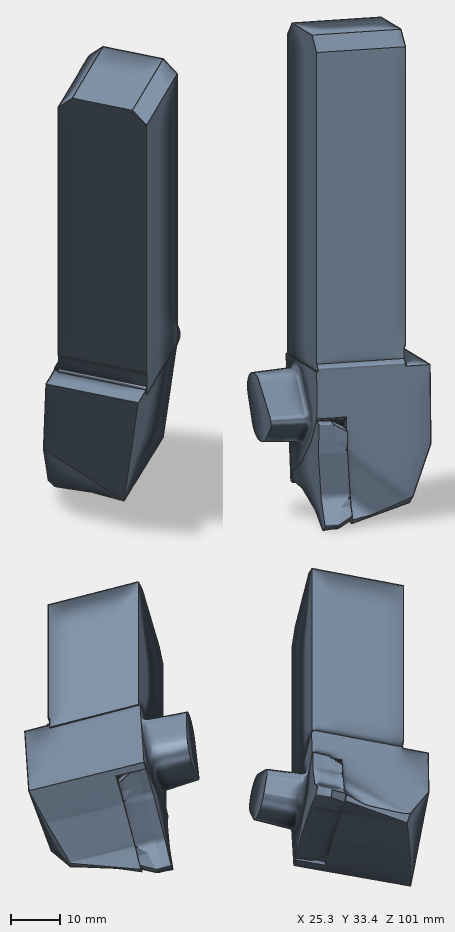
import cadquery as cq
import math


SHANK_WIDTH = 19.0
SHANK_TOP = 101.0
SHANK_BACK = -0.3
TOP_CHAMFER = 3.0
RELIEF_DEPTH = 0.3
RELIEF_TOP = 36.2
RELIEF_RAMP = 0.6
ROOT_FILLET = 0.5

HEAD_DEPTH = 24.2
HEAD_TOP = 32.0
HEAD_STEP = 0.9
HEAD_CORNER = (15.9, 6.3)
NECK_FILLET = 1.4
SIDE_LEAN = 0.033
RIDGE_FALL = 0.774
BOTTOM_RISE = 0.022
FLANK_TOP = 19.7
FLANK_BREAK = 10.6
UPPER_FLANK_ANGLE = 12.0
LOWER_FLANK_ANGLE = 27.0
UPPER_FLANK_FILLET = 8.1
LOWER_FLANK_FILLET = 6.1
UNDERSIDE = [(-0.3, 3.2), (8.4, 5.6)]
TIP_SLOPE = 0.6
TOE_START = -3.5
TOE_SLOPE = 0.49
FACET_START = 15.5
FACET_SIDE_SLOPE = 0.517
FACET_DEPTH_SLOPE = 2.71

INSERT_THICKNESS = 6.3
INSERT_CENTRE = (2.4, 9.9)
TIP_COUNT = 3
TIP_ANGLE = 229.0
TIP_RADIUS = 12.4
TIP_HALF_WIDTH = 0.9
TIP_FILLET = 0.35
WAIST_RADIUS = 7.1
WAIST_ANGLE = 20.5
WAIST_FILLET = 5.3
WAIST_LIMIT = (WAIST_RADIUS + TIP_RADIUS) / 2
CLEARANCE_START = 3.1
CLEARANCE_SETBACK = 1.8
CLEARANCE_SLOPE = 0.14
KNEE_SHARE = 0.65
KNEE_DEPTH = 4.0
LAND_DEPTH = 1.8
LAND_TAPER = 5.0
LAND_INSET = LAND_DEPTH * math.tan(math.radians(LAND_TAPER))
POCKET_TOP = 22.3

STUD_LENGTH = 10.1
STUD_END_HEIGHT = 8.9
STUD_TAPER = 3.5
STUD_FILLET = 1.3
STUD_ROUNDS = [
    (5.6, 21.0, 2.3),
    (12.3, 25.9, 4.5),
    (10.1, 20.7, 5.2),
]
STUD_END_SLOPE_X = 0.05
STUD_END_SLOPE_Z = 0.05

MARGIN = 60.6


def prism(points, start, sweep):
    """Sweep an (X, Z) outline at Y = start along a straight vector."""
    wire = cq.Wire.makePolygon([cq.Vector(x, start, z) for x, z in points], close=True)
    return cq.Workplane(cq.Solid.extrudeLinear(wire, [], cq.Vector(*sweep)))


def half_space(origin, outward):
    """A large block that ends at the plane through origin and lies on its outward side."""
    plane = cq.Plane(origin=origin, normal=outward)
    return cq.Workplane(plane).rect(2 * MARGIN, 2 * MARGIN).extrude(MARGIN)


def polar(radius, degrees):
    """A point around the insert centre as (X, Z)."""
    angle = math.radians(degrees)
    return (
        INSERT_CENTRE[0] + radius * math.cos(angle),
        INSERT_CENTRE[1] + radius * math.sin(angle),
    )


def tip_corner(direction, radius, half_width, side):
    """A corner of a blunt tip; side is -1 or 1."""
    offset = math.degrees(math.atan2(half_width, radius))
    return polar(math.hypot(radius, half_width), direction + side * offset)


def upright_edges(body, nearest, farthest):
    """Edges along Y whose distance from the insert centre lies in the given range."""
    edges = []
    for edge in body.edges("|Y").vals():
        middle = edge.Center()
        reach = math.hypot(middle.x - INSERT_CENTRE[0], middle.z - INSERT_CENTRE[1])
        if nearest < reach < farthest:
            edges.append(edge)
    return body.newObject(edges)


def make_shank():
    base = HEAD_TOP - NECK_FILLET
    shank = (
        cq.Workplane("XY")
        .box(SHANK_WIDTH, SHANK_WIDTH, SHANK_TOP - base, centered=False)
        .translate((0, SHANK_BACK - SHANK_WIDTH, base))
        .edges("|Y and >Z")
        .chamfer(TOP_CHAMFER)
    )
    front = SHANK_BACK - SHANK_WIDTH
    relief = (
        cq.Workplane("YZ")
        .polyline([
            (front, base),
            (front, RELIEF_TOP),
            (front + RELIEF_DEPTH, RELIEF_TOP - RELIEF_RAMP),
            (front + RELIEF_DEPTH, base),
        ])
        .close()
        .extrude(SHANK_WIDTH)
    )
    return shank.cut(relief)


def make_neck():
    """The hollow between the shank side and the head side, and the round at the front root."""
    depth = SHANK_WIDTH - RELIEF_DEPTH
    side = (
        cq.Workplane("XZ", origin=(0, SHANK_BACK, 0))
        .moveTo(0, HEAD_TOP + NECK_FILLET)
        .radiusArc((-HEAD_STEP, HEAD_TOP), -NECK_FILLET)
        .lineTo(0, HEAD_TOP)
        .close()
        .extrude(depth)
    )
    root = SHANK_BACK - depth
    front = (
        cq.Workplane("YZ")
        .moveTo(root, HEAD_TOP + ROOT_FILLET)
        .radiusArc((root - ROOT_FILLET, HEAD_TOP), -ROOT_FILLET)
        .lineTo(root, HEAD_TOP)
        .close()
        .extrude(SHANK_WIDTH)
    )
    return side.union(front)


def make_flank_body():
    """Head bounded by its top, right side and left flanks; the flank ridges fall with depth."""
    ridge_x = -HEAD_STEP - SIDE_LEAN * (HEAD_TOP - FLANK_TOP)
    break_x = ridge_x - (FLANK_TOP - FLANK_BREAK) * math.tan(math.radians(UPPER_FLANK_ANGLE))
    toe_x = break_x - MARGIN * math.tan(math.radians(LOWER_FLANK_ANGLE))
    toe_z = FLANK_BREAK - MARGIN
    above = HEAD_TOP + RIDGE_FALL * HEAD_DEPTH
    above_x = ridge_x + SIDE_LEAN * (above - FLANK_TOP)
    outline = [
        (above_x, above),
        (ridge_x, FLANK_TOP),
        (break_x, FLANK_BREAK),
        (toe_x, toe_z),
        (MARGIN, toe_z),
        (MARGIN, above),
    ]
    sweep_z = -RIDGE_FALL * HEAD_DEPTH
    body = prism(outline, 0, (SIDE_LEAN * sweep_z, -HEAD_DEPTH, sweep_z))
    ridges = [
        (ridge_x, FLANK_TOP, UPPER_FLANK_FILLET),
        (break_x, FLANK_BREAK, LOWER_FLANK_FILLET),
    ]
    for x, z, radius in ridges:
        middle = (x + SIDE_LEAN * sweep_z / 2, -HEAD_DEPTH / 2, z + sweep_z / 2)
        body = body.edges(cq.selectors.NearestToPointSelector(middle)).fillet(radius)
    return body


def make_underside_body():
    """Head bounded by its top, right side and underside; the underside rises with depth."""
    bend_x, bend_z = UNDERSIDE[0]
    rise = BOTTOM_RISE * HEAD_DEPTH
    outline = [
        (bend_x - MARGIN, HEAD_TOP),
        (bend_x - MARGIN, bend_z - TIP_SLOPE * MARGIN),
        *UNDERSIDE,
        HEAD_CORNER,
        (SHANK_WIDTH, HEAD_TOP),
    ]
    body = prism(outline, 0, (0, -HEAD_DEPTH, rise))
    return body.cut(half_space((0, 0, HEAD_TOP), (0, 0, 1)))


def make_head():
    toe = half_space((TOE_START, -INSERT_THICKNESS, 0), (-1, -TOE_SLOPE, -1))
    facet = half_space(
        (-HEAD_STEP, -HEAD_DEPTH, FACET_START),
        (-FACET_SIDE_SLOPE, -FACET_DEPTH_SLOPE, -1),
    )
    return make_flank_body().intersect(make_underside_body()).cut(toe).cut(facet)


def make_pocket():
    """Recess that fits the inner side of the insert and is open to the left and below."""
    upper_tip = TIP_ANGLE - 360 / TIP_COUNT
    right_tip = upper_tip - 360 / TIP_COUNT
    upper_corner = tip_corner(upper_tip, TIP_RADIUS, TIP_HALF_WIDTH, -1)
    outline = [
        (-MARGIN, POCKET_TOP),
        (upper_corner[0], POCKET_TOP),
        upper_corner,
        polar(WAIST_RADIUS, upper_tip - WAIST_ANGLE),
        polar(WAIST_RADIUS, right_tip + WAIST_ANGLE),
        tip_corner(right_tip, TIP_RADIUS, TIP_HALF_WIDTH, 1),
        tip_corner(right_tip, TIP_RADIUS, TIP_HALF_WIDTH, -1),
        (HEAD_CORNER[0], -MARGIN),
        (-MARGIN, -MARGIN),
    ]
    pocket = prism(outline, 0, (0, -INSERT_THICKNESS, 0))
    return upright_edges(pocket, 0, WAIST_LIMIT).fillet(WAIST_FILLET)


def tangent_points(first, second):
    """Ends of the outer tangent of two rounds that follow each other clockwise."""
    dx, dz = second[0] - first[0], second[1] - first[1]
    along = math.atan2(dz, dx)
    lean = math.acos((first[2] - second[2]) / math.hypot(dx, dz))
    angle = along + lean
    return [(x + r * math.cos(angle), z + r * math.sin(angle)) for x, z, r in (first, second)]


def make_stud():
    """Tapered three-cornered stud on the +Y face, flared at its base and cut off aslant."""
    count = len(STUD_ROUNDS)
    sides = [tangent_points(STUD_ROUNDS[i], STUD_ROUNDS[(i + 1) % count]) for i in range(count)]
    outline = cq.Workplane("XZ").moveTo(*sides[0][0])
    for i in range(count):
        end = sides[i][1]
        after = sides[(i + 1) % count][0]
        outline = outline.lineTo(*end).radiusArc(after, STUD_ROUNDS[(i + 1) % count][2])
    stud = outline.close().extrude(-STUD_LENGTH, taper=STUD_TAPER)
    end_x, end_z, _ = STUD_ROUNDS[1]
    end = half_space(
        (end_x, STUD_END_HEIGHT, end_z),
        (-STUD_END_SLOPE_X, 1, -STUD_END_SLOPE_Z),
    )
    return stud.cut(end)


def fillet_stud_base(body):
    """Flare the foot of the stud into the head face."""
    low_x, low_z = [min(corner[axis] - corner[2] for corner in STUD_ROUNDS) for axis in (0, 1)]
    high_x, high_z = [max(corner[axis] + corner[2] for corner in STUD_ROUNDS) for axis in (0, 1)]
    foot = cq.selectors.BoxSelector((low_x, -STUD_FILLET, low_z), (high_x, STUD_FILLET, high_z))
    return body.edges(foot).fillet(STUD_FILLET)


def make_holder():
    body = make_head().union(make_shank()).union(make_neck()).cut(make_pocket())
    return fillet_stud_base(body.union(make_stud())).solids()


def make_insert_blank():
    """Tapered land above an upright base, both with the same three-tipped outline."""
    outline = []
    for i in range(TIP_COUNT):
        direction = TIP_ANGLE + i * 360 / TIP_COUNT
        outline += [
            polar(WAIST_RADIUS, direction - WAIST_ANGLE),
            tip_corner(direction, TIP_RADIUS, TIP_HALF_WIDTH, -1),
            tip_corner(direction, TIP_RADIUS, TIP_HALF_WIDTH, 1),
            polar(WAIST_RADIUS, direction + WAIST_ANGLE),
        ]
    pattern = prism(outline, 0, (0, LAND_DEPTH, 0))
    pattern = upright_edges(pattern, 0, WAIST_LIMIT).fillet(WAIST_FILLET)
    pattern = upright_edges(pattern, WAIST_LIMIT, MARGIN).fillet(TIP_FILLET)
    top_wire = pattern.faces("<Y").wires().toPending().workplane()
    land = top_wire.extrude(LAND_DEPTH, taper=LAND_TAPER, combine=False)
    base_wire = land.faces("<Y").wires().toPending().workplane()
    return base_wire.extrude(INSERT_THICKNESS - LAND_DEPTH)


def make_polyhedron(corners, triangles):
    faces = []
    for triangle in triangles:
        wire = cq.Wire.makePolygon([corners[name] for name in triangle], close=True)
        faces.append(cq.Face.makeFromWires(wire))
    return cq.Workplane(cq.Solid.makeSolid(cq.Shell.makeShell(faces)))


def make_tip_side_clearance(direction, side):
    """Wedge that thins one side of a tip towards the bottom, with a knee before the waist."""
    tip = tip_corner(direction, TIP_RADIUS, TIP_HALF_WIDTH, side)
    waist = polar(WAIST_RADIUS, direction + side * WAIST_ANGLE)
    knee = tuple(a + KNEE_SHARE * (b - a) for a, b in zip(tip, waist))
    inward = math.radians(direction - side * 90)

    def moved_in(point, distance):
        return (point[0] + distance * math.cos(inward), point[1] + distance * math.sin(inward))

    tip_inset = LAND_INSET + CLEARANCE_SLOPE * (INSERT_THICKNESS - CLEARANCE_START)
    knee_inset = LAND_INSET + CLEARANCE_SLOPE * (INSERT_THICKNESS - KNEE_DEPTH)
    outside = tip_corner(direction, TIP_RADIUS, TIP_RADIUS, side)
    places = {
        "tip": (moved_in(tip, LAND_INSET), CLEARANCE_START),
        "knee": (moved_in(knee, LAND_INSET), KNEE_DEPTH),
        "waist": (moved_in(waist, LAND_INSET), INSERT_THICKNESS),
        "inner tip": (moved_in(tip, tip_inset), INSERT_THICKNESS),
        "inner knee": (moved_in(knee, knee_inset), INSERT_THICKNESS),
        "outside": (outside, INSERT_THICKNESS),
    }
    corners = {name: cq.Vector(x, -depth, z) for name, ((x, z), depth) in places.items()}
    triangles = [
        ("tip", "knee", "inner knee"),
        ("tip", "inner knee", "inner tip"),
        ("knee", "waist", "inner knee"),
        ("tip", "knee", "outside"),
        ("knee", "waist", "outside"),
        ("tip", "inner tip", "outside"),
        ("inner tip", "inner knee", "outside"),
        ("inner knee", "waist", "outside"),
    ]
    return make_polyhedron(corners, triangles)


def make_tip_end_clearance(direction):
    """Half space below the slanting end of a tip."""
    x, z = polar(TIP_RADIUS - LAND_INSET, direction)
    angle = math.radians(direction)
    fall = (INSERT_THICKNESS - CLEARANCE_START) / CLEARANCE_SETBACK
    outward = (fall * math.cos(angle), -1, fall * math.sin(angle))
    return half_space((x, -CLEARANCE_START, z), outward)


def make_insert():
    insert = make_insert_blank()
    for i in range(TIP_COUNT):
        direction = TIP_ANGLE + i * 360 / TIP_COUNT
        for side in (-1, 1):
            insert = insert.cut(make_tip_side_clearance(direction, side))
        insert = insert.cut(make_tip_end_clearance(direction))
    return insert.solids()


holder = make_holder()
insert = make_insert()
result = cq.Compound.makeCompound([holder.val(), insert.val()])